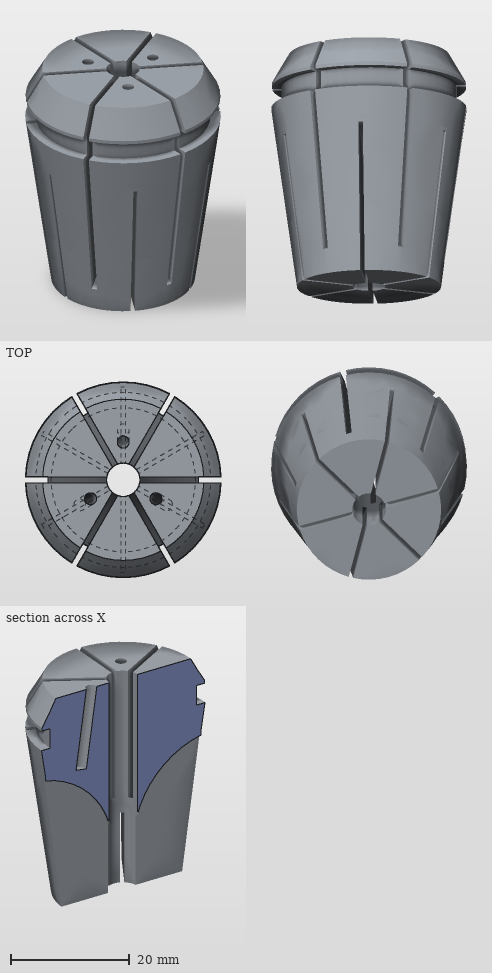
import cadquery as cq
import math

height = 40.0
taper_diameter = 33.0
taper_radius = taper_diameter / 2
taper_height = 30.9
taper_angle = 8.0
groove_radius = 14.75
groove_top = 34.5
head_radius = 16.4
head_rim_top = 35.1
head_angle = 30.0
bore_radius = 2.8

slots_per_set = 6
slot_spacing = 360.0 / slots_per_set

upper_slot_width = 1.0
upper_slot_outer_end = 4.05
upper_slot_inner_end = 16.15
upper_cutter_radius = 21.2

lower_slot_width = 0.75
lower_slot_outer_end = 24.9
lower_slot_inner_end = 13.2
lower_cutter_radius = 16.8

hole_count = 3
hole_spacing = 360.0 / hole_count
first_hole_angle = 90.0
hole_radius = 1.0
hole_circle_radius = 6.35
hole_depth = 15.0
hole_lean = 8.0

clearance = 2.0


def taper_radius_at(z):
    """Radius of the clamping taper at height z."""
    return taper_radius - (taper_height - z) * math.tan(math.radians(taper_angle))


def collet_body():
    """Taper, groove and conical head around the through bore."""
    top_radius = head_radius - (height - head_rim_top) * math.tan(math.radians(head_angle))
    return (
        cq.Workplane("XZ")
        .moveTo(bore_radius, 0)
        .lineTo(taper_radius_at(0), 0)
        .lineTo(taper_radius, taper_height)
        .lineTo(groove_radius, taper_height)
        .lineTo(groove_radius, groove_top)
        .lineTo(head_radius, groove_top)
        .lineTo(head_radius, head_rim_top)
        .lineTo(top_radius, height)
        .lineTo(bore_radius, height)
        .close()
        .revolve(360, (0, 0, 0), (0, 1, 0))
    )


def slot_cutter(width, outer_end, inner_end, arc_radius, open_end):
    """Radial slot along +X, from its arc end through to the height open_end."""
    overrun_radius = taper_radius + clearance
    return (
        cq.Workplane("XZ")
        .moveTo(0, open_end)
        .lineTo(0, inner_end)
        .lineTo(bore_radius, inner_end)
        .radiusArc((taper_radius_at(outer_end), outer_end), arc_radius)
        .lineTo(overrun_radius, outer_end)
        .lineTo(overrun_radius, open_end)
        .close()
        .extrude(width / 2, both=True)
    )


def drilled_hole():
    """Blind hole on the +X side that leans outwards as it goes down."""
    entry = cq.Vector(hole_circle_radius, 0, height)
    lean = math.radians(hole_lean)
    down = cq.Vector(math.sin(lean), 0, -math.cos(lean))
    start = entry - down * clearance
    return cq.Workplane(cq.Solid.makeCylinder(hole_radius, hole_depth + clearance, start, down))


def turned(shape, angle):
    """The shape turned about Z by an angle in degrees."""
    return shape.rotate((0, 0, 0), (0, 0, 1), angle)


result = collet_body()

upper_slot = slot_cutter(
    upper_slot_width,
    upper_slot_outer_end,
    upper_slot_inner_end,
    -upper_cutter_radius,
    height + clearance,
)
lower_slot = slot_cutter(
    lower_slot_width,
    lower_slot_outer_end,
    lower_slot_inner_end,
    lower_cutter_radius,
    -clearance,
)
for i in range(slots_per_set):
    result = result.cut(turned(upper_slot, i * slot_spacing))
    result = result.cut(turned(lower_slot, (i + 0.5) * slot_spacing))

hole = drilled_hole()
for i in range(hole_count):
    result = result.cut(turned(hole, first_hole_angle + i * hole_spacing))